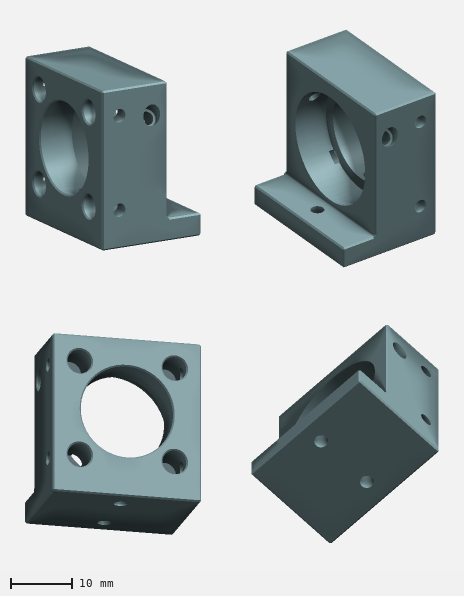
import cadquery as cq
import math

width = 25.03
height = 27.03
total_depth = 18.68
body_depth = 12.3
foot_height = 3.8
edge_chamfer = 0.27
corner_radius = 0.27

bore_height = 14.5
bore_diameter = 15.55
bore_chamfer = 0.25
rear_bore_diameter = 19.52
rear_bore_start = 6.14

rod_diameter = 4.03
rod_offset = 8.0
rod_depth = 7.03
rod_chamfer = 0.25

small_diameter = 2.27
side_hole_setback = 3.2
foot_hole_setback = 14.9
bore_hole_setback = 4.25
screw_head_diameter = 3.15
screw_head_depth = 1.78
screw_angle = 30.0
screw_setback = 9.33


def cylinder(diameter, length, start, direction):
    return cq.Workplane(
        cq.Solid.makeCylinder(diameter / 2, length, cq.Vector(*start), cq.Vector(*direction))
    )


def chamfered_front_hole(diameter, depth, chamfer, x, z):
    hole = cylinder(diameter, depth, (x, 0, z), (0, 1, 0))
    mouth = cq.Solid.makeCone(
        diameter / 2 + chamfer, diameter / 2, chamfer, cq.Vector(x, 0, z), cq.Vector(0, 1, 0)
    )
    return hole.union(cq.Workplane(mouth))


def make_block():
    profile = [
        (0, 0),
        (total_depth, 0),
        (total_depth, foot_height),
        (body_depth, foot_height),
        (body_depth, height),
        (0, height),
    ]
    block = cq.Workplane("YZ").polyline(profile).close().extrude(width / 2, both=True)
    bevelled_edges = block.faces("<X or >X").edges().add(
        block.edges("|X").edges("<Y or >Y or <Z or >Z")
    )
    return bevelled_edges.chamfer(edge_chamfer)


def add_corner_fillet(part):
    outer_y = body_depth + corner_radius
    outer_z = foot_height + corner_radius
    inner_y = body_depth - edge_chamfer
    inner_z = foot_height - edge_chamfer
    arc_y = outer_y - corner_radius * math.sqrt(0.5)
    arc_z = outer_z - corner_radius * math.sqrt(0.5)
    fillet = (
        cq.Workplane("YZ")
        .moveTo(inner_y, inner_z)
        .lineTo(outer_y, inner_z)
        .lineTo(outer_y, foot_height)
        .threePointArc((arc_y, arc_z), (body_depth, outer_z))
        .lineTo(inner_y, outer_z)
        .close()
        .extrude(width / 2, both=True)
    )
    return part.union(fillet)


def cut_bore(part):
    part = part.cut(chamfered_front_hole(bore_diameter, body_depth, bore_chamfer, 0, bore_height))
    rear_length = total_depth - rear_bore_start
    rear_start = (0, rear_bore_start, bore_height)
    return part.cut(cylinder(rear_bore_diameter, rear_length, rear_start, (0, 1, 0)))


def cut_rod_and_side_holes(part):
    for side in (-1, 1):
        for level in (-1, 1):
            x = side * rod_offset
            z = bore_height + level * rod_offset
            part = part.cut(chamfered_front_hole(rod_diameter, rod_depth, rod_chamfer, x, z))
            start = (side * width / 2, side_hole_setback, z)
            part = part.cut(cylinder(small_diameter, width / 2 - rod_offset, start, (-side, 0, 0)))
    return part


def cut_screw_holes(part):
    axis_length = width / 2 / math.cos(math.radians(screw_angle))
    overrun = screw_head_diameter
    for side in (-1, 1):
        dx = -side * math.cos(math.radians(screw_angle))
        dz = -math.sin(math.radians(screw_angle))
        reach = axis_length + overrun
        start = (-dx * reach, screw_setback, bore_height - dz * reach)
        part = part.cut(cylinder(screw_head_diameter, screw_head_depth + overrun, start, (dx, 0, dz)))
        part = part.cut(cylinder(small_diameter, reach, start, (dx, 0, dz)))
    return part


def cut_vertical_holes(part):
    part = part.cut(cylinder(small_diameter, foot_height, (0, foot_hole_setback, 0), (0, 0, 1)))
    return part.cut(cylinder(small_diameter, bore_height, (0, bore_hole_setback, 0), (0, 0, 1)))


result = make_block()
result = add_corner_fillet(result)
result = cut_bore(result)
result = cut_rod_and_side_holes(result)
result = cut_screw_holes(result)
result = cut_vertical_holes(result)